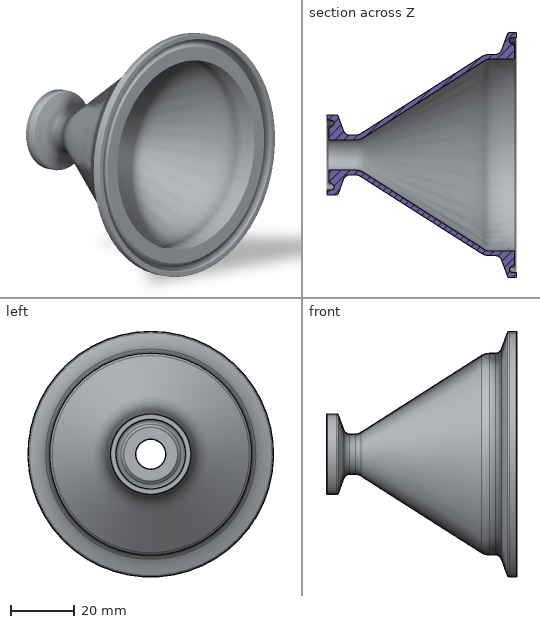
import cadquery as cq
import math


LENGTH = 60.0
WALL = 1.65
SMALL_TUBE_RADIUS = 12.7 / 2
LARGE_TUBE_RADIUS = 63.7 / 2
CONE_LENGTH = 40.0
BEND_RADIUS = 3.175

SMALL_FLANGE_RADIUS = 25.4 / 2
LARGE_FLANGE_RADIUS = 77.5 / 2
SMALL_RIM_WIDTH = 3.58
LARGE_RIM_WIDTH = 2.85
FLANGE_BACK_ANGLE = math.radians(20)
RIM_ROUND = 0.76
NECK_FILLET = 2.0

RIM_LAND = 1.75
GROOVE_WIDTH = 2.42
GROOVE_ROUND = 0.85
GROOVE_SLOPE = math.radians(55)
INNER_FACE_RECESS = 0.7
EDGE_ROUND = 0.2

CONE_START = (LENGTH - CONE_LENGTH) / 2
CONE_END = CONE_START + CONE_LENGTH
CONE_ANGLE = math.atan2(LARGE_TUBE_RADIUS - SMALL_TUBE_RADIUS, CONE_LENGTH)
OUTER_BEND_RADIUS = BEND_RADIUS + WALL
INNER_CONE_SHIFT = WALL * math.tan(CONE_ANGLE / 2)


def unit_direction(start, end):
    span = math.dist(start, end)
    return (end[0] - start[0]) / span, (end[1] - start[1]) / span


def rounded_outline(corners):
    """Closed wire through (x, radius, rounding) corners; the first corner must be sharp."""
    points = [(x, r) for x, r, _ in corners]
    outline = cq.Workplane("XZ").moveTo(*points[0])
    for i in range(1, len(corners)):
        x, r, rounding = corners[i]
        if rounding == 0:
            outline = outline.lineTo(x, r)
            continue
        back = unit_direction(points[i], points[i - 1])
        ahead = unit_direction(points[i], points[(i + 1) % len(points)])
        half_angle = math.acos(back[0] * ahead[0] + back[1] * ahead[1]) / 2
        setback = rounding / math.tan(half_angle)
        middle_setback = rounding / math.sin(half_angle) - rounding
        inward = unit_direction((0, 0), (back[0] + ahead[0], back[1] + ahead[1]))
        arc_start = (x + setback * back[0], r + setback * back[1])
        arc_middle = (x + middle_setback * inward[0], r + middle_setback * inward[1])
        arc_end = (x + setback * ahead[0], r + setback * ahead[1])
        outline = outline.lineTo(*arc_start).threePointArc(arc_middle, arc_end)
    return outline.close()


def flange_back_width(flange_radius, tube_radius):
    return (flange_radius - tube_radius) * math.tan(FLANGE_BACK_ANGLE)


def end_face_corners(end_x, into_part, flange_radius, bore_radius):
    """Corners of an end face from the bore out to the flange edge.

    into_part is +1 or -1, the X direction from the end plane into the material.
    """
    groove_outer = flange_radius - RIM_LAND
    groove_inner = groove_outer - GROOVE_WIDTH
    groove_depth = INNER_FACE_RECESS + GROOVE_WIDTH * math.tan(GROOVE_SLOPE)
    inner_face_x = end_x + into_part * INNER_FACE_RECESS
    return [
        (inner_face_x, bore_radius, 0),
        (inner_face_x, groove_inner, EDGE_ROUND),
        (end_x + into_part * groove_depth, groove_outer, GROOVE_ROUND),
        (end_x, groove_outer, EDGE_ROUND),
        (end_x, flange_radius, EDGE_ROUND),
    ]


def reducer_body():
    small_neck = SMALL_RIM_WIDTH + flange_back_width(SMALL_FLANGE_RADIUS, SMALL_TUBE_RADIUS)
    large_rim = LENGTH - LARGE_RIM_WIDTH
    large_neck = large_rim - flange_back_width(LARGE_FLANGE_RADIUS, LARGE_TUBE_RADIUS)
    small_bore = SMALL_TUBE_RADIUS - WALL
    large_bore = LARGE_TUBE_RADIUS - WALL
    outside = [
        (SMALL_RIM_WIDTH, SMALL_FLANGE_RADIUS, RIM_ROUND),
        (small_neck, SMALL_TUBE_RADIUS, NECK_FILLET),
        (CONE_START, SMALL_TUBE_RADIUS, BEND_RADIUS),
        (CONE_END, LARGE_TUBE_RADIUS, OUTER_BEND_RADIUS),
        (large_neck, LARGE_TUBE_RADIUS, NECK_FILLET),
        (large_rim, LARGE_FLANGE_RADIUS, RIM_ROUND),
    ]
    bore = [
        (CONE_END + INNER_CONE_SHIFT, large_bore, BEND_RADIUS),
        (CONE_START + INNER_CONE_SHIFT, small_bore, OUTER_BEND_RADIUS),
    ]
    small_end = end_face_corners(0, 1, SMALL_FLANGE_RADIUS, small_bore)
    large_end = end_face_corners(LENGTH, -1, LARGE_FLANGE_RADIUS, large_bore)
    outline = rounded_outline(small_end + outside + large_end[::-1] + bore)
    return outline.revolve(360, (0, 0, 0), (1, 0, 0))


result = reducer_body()